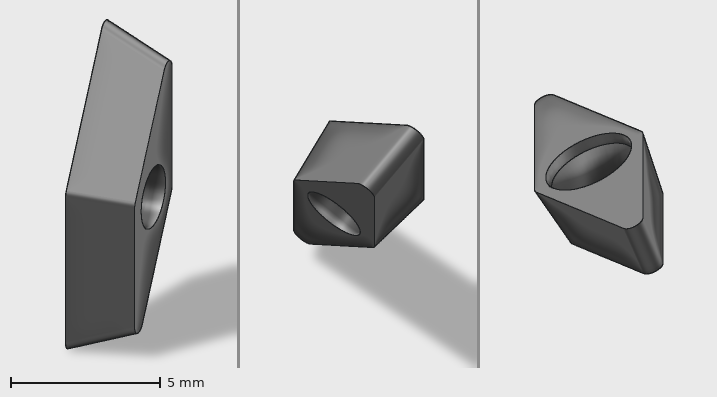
import cadquery as cq
import math

thickness = 2.38
width = 3.97
length = 10.89
acute_angle = math.radians(35)
relief_angle = math.radians(7)

mouth_diameter = 3.14
seat_diameter = 3.05
bore_diameter = 2.2
mouth_depth = 0.39
seat_radius = 2.61

half_angle = acute_angle / 2
sharp_half_length = width / 2 / math.tan(half_angle)
nose_radius = (sharp_half_length - length / 2) / (1 / math.tan(half_angle) - 1)


def diamond(half_width, x):
    """Diamond with two sides along Z, its four corners rounded, at the given X."""
    acute_z = half_width / math.tan(half_angle)
    obtuse_z = half_width * math.tan(half_angle)
    corners = [
        (half_width, acute_z),
        (half_width, -obtuse_z),
        (-half_width, -acute_z),
        (-half_width, obtuse_z),
    ]
    sketch = cq.Sketch().polygon(corners + corners[:1]).vertices().fillet(nose_radius)
    return sketch.moved(cq.Location(cq.Vector(0, 0, x)))


def tapered_plate():
    """Plate whose four sides lean inward toward +X by the relief angle."""
    inset = thickness * math.tan(relief_angle)
    large_face = diamond(width / 2, 0)
    small_face = diamond(width / 2 - inset, thickness)
    return cq.Workplane("YZ").placeSketch(large_face, small_face).loft(ruled=True)


def screw_hole():
    """Hole profile (X, radius) revolved about the X axis."""
    mouth = mouth_diameter / 2
    seat = seat_diameter / 2
    bore = bore_diameter / 2
    arc_center = bore + seat_radius
    seat_depth = math.sqrt(seat_radius**2 - (arc_center - seat) ** 2)
    bore_start = mouth_depth + seat_depth
    middle_angle = math.asin(seat_depth / seat_radius) / 2
    arc_middle = (
        bore_start - seat_radius * math.sin(middle_angle),
        arc_center - seat_radius * math.cos(middle_angle),
    )
    return (
        cq.Workplane("XY")
        .moveTo(0, 0)
        .lineTo(0, mouth)
        .lineTo(mouth_depth, seat)
        .threePointArc(arc_middle, (bore_start, bore))
        .lineTo(thickness, bore)
        .lineTo(thickness, 0)
        .close()
        .revolve(360, (0, 0, 0), (1, 0, 0))
    )


result = tapered_plate().cut(screw_hole())